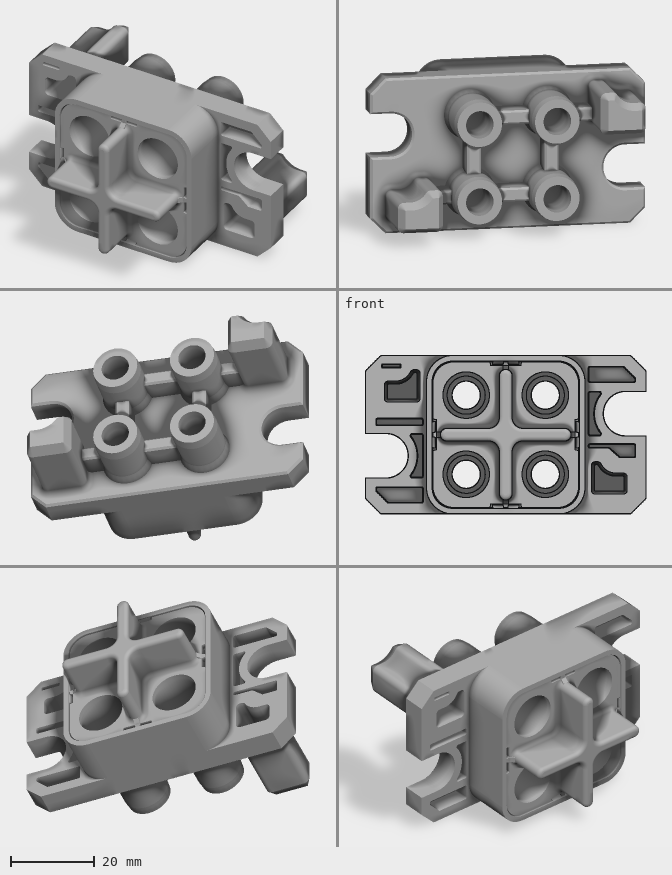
import cadquery as cq
import math


FLANGE_LENGTH = 67.2
BODY_HEIGHT = 38.0
FLANGE_THICKNESS = 6.45
FLANGE_CORNER_CHAMFER = 3.7
FLANGE_EDGE_CHAMFER = 0.55

SLOT_RADIUS = 5.3
SLOT_CENTRE_X = 28.7
SLOT_OFFSET_Z = 5.05

BLOCK_DEPTH = 12.6
BLOCK_CORNER_RADIUS = 6.3
RIM_WIDTH = 1.35
BLOCK_FRONT = -BLOCK_DEPTH

INSERT_SETBACK = 0.3
INSERT_FRONT = BLOCK_FRONT + INSERT_SETBACK
INSERT_CLEARANCE = 0.2
RECESS_SIZE = BODY_HEIGHT - 2 * RIM_WIDTH
INSERT_SIZE = RECESS_SIZE - 2 * INSERT_CLEARANCE
RECESS_CORNER_RADIUS = BLOCK_CORNER_RADIUS - RIM_WIDTH

CROSS_FRONT = -22.5
CROSS_HALF_LENGTH = 15.65
CROSS_THICKNESS = 3.0
CROSS_INNER_RADIUS = 2.6
CROSS_FILLET = 1.0

NOTCH_MOUTH_WIDTH = 7.65
NOTCH_FLOOR_WIDTH = 7.2
NOTCH_HEIGHT = 1.1
NOTCH_DEPTH = 1.35
NOTCH_FLOOR = RECESS_SIZE / 2 - NOTCH_HEIGHT
LATCH_WIDTH = 6.3
LATCH_HEIGHT = 0.8
KEY_ROOT_WIDTH = 1.5
KEY_TIP_WIDTH = 0.8
RAMP_WIDTH = 1.35

BORE_OFFSET = 9.5
INSERT_BORE_RADIUS = 5.6
HOUSING_BORE_RADIUS = 4.6
TUBE_BORE_RADIUS = 3.35
TUBE_RADIUS = 5.7
TUBE_END = 18.95
TUBE_TIP_LENGTH = 2.4
TUBE_TIP_RADIUS = 5.45
TUBE_FLARE_LENGTH = 2.4
TUBE_FLARE_RADIUS = 6.2

WEB_THICKNESS = 3.35
WEB_END = 12.5
WEB_CHAMFER = 0.5

POST_END = 25.2
POST_TIP_LENGTH = 2.5
POST_TIP_INSET = 1.4
POST_BASE_FILLET = 1.2
POST_LEFT = -30.3
POST_RIGHT = -19.3
POST_BOTTOM = 6.6
POST_SHOULDER = 14.05
POST_TOP = 16.8
POST_BEND_X = -27.2
POST_BEND_RADIUS = 4.5
POST_CORNER_RADIUS = 1.5
POST_DROP = 22.05

CORE_WALL = 1.2
CORE_BEND_X = -26.4
CORE_BEND_RADIUS = 4.0
CORE_CORNER_RADIUS = 1.0
CORE_TAPER_INSET = 0.75
CORE_DEPTH = 20.15

POCKET_DEPTH = 4.0
POCKET_CORNER_RADIUS = 0.5
POCKET_DRAFT = 2.5
POCKET_INNER_X = 19.75
POCKET_OUTER_X = 31.1
BAR_TOP = 3.95
BAR_BOTTOM = 2.15
CORNER_POCKET_NEAR_Z = 12.5
CORNER_POCKET_FAR_Z = 16.4
CORNER_POCKET_CUT = 2.9
CRESCENT_WALL = 2.15
CRESCENT_LENGTH = 10.6
STEPPED_TOP = -2.15
STEPPED_NARROW_BOTTOM = -3.2
STEPPED_WIDE_BOTTOM = -5.5
STEPPED_NARROW_END = 24.7
STEPPED_WIDE_START = 27.3
MARK_CENTRE_X = -27.4
MARK_CENTRE_Z = 16.45
MARK_LENGTH = 4.6
MARK_HEIGHT = 0.95
MARK_CORNER_RADIUS = 0.2

SLACK = 0.1

BORE_CENTRES = [(x, z) for x in (-BORE_OFFSET, BORE_OFFSET) for z in (-BORE_OFFSET, BORE_OFFSET)]


def plane_at(y):
    """Sketch plane at depth y; a negative extrusion runs toward the cable side."""
    return cq.Workplane("XZ", origin=(0, y, 0))


def half_turn(body):
    """The body turned half a revolution about the Y axis."""
    return body.rotate((0, 0, 0), (0, 1, 0), 180)


def cone(x, z, start, end, start_radius, end_radius):
    """Round stub along Y with a radius given at each end."""
    origin = cq.Vector(x, start, z)
    return cq.Workplane(cq.Solid.makeCone(start_radius, end_radius, end - start, origin, cq.Vector(0, 1, 0)))


def bores(radius, end):
    """Four round holes running from the flange front to the given depth."""
    return plane_at(0).pushPoints(BORE_CENTRES).circle(radius).extrude(-end)


def lower_copy(post):
    """Counterpart of an upper-left post feature at the lower right."""
    return post.mirror("YZ").translate((0, 0, -POST_DROP))


def fillet_base(body, boss, start, radius):
    """Fillet the edges of a body where a boss rises from its face at depth start."""
    box = boss.val().BoundingBox()
    footprint = cq.selectors.BoxSelector(
        (box.xmin - SLACK, start - SLACK, box.zmin - SLACK),
        (box.xmax + SLACK, start + SLACK, box.zmax + SLACK),
        boundingbox=True,
    )
    return body.edges(footprint).fillet(radius)


def rounded_square(size, corner_radius, depth):
    """Square prism that starts at the flange front and reaches forward by its depth."""
    return plane_at(0).rect(size, size).extrude(depth).edges("|Y").fillet(corner_radius)


def trapezoid(bottom_z, bottom_width, top_z, top_width):
    """Prism as deep as a latch notch, with its width changing evenly along Z."""
    return (
        plane_at(INSERT_FRONT)
        .polyline([
            (-bottom_width / 2, bottom_z),
            (bottom_width / 2, bottom_z),
            (top_width / 2, top_z),
            (-top_width / 2, top_z),
        ])
        .close().extrude(-NOTCH_DEPTH)
    )


def key():
    """Narrow rib that crosses the upper notch to the recess wall."""
    return trapezoid(NOTCH_FLOOR, KEY_ROOT_WIDTH, RECESS_SIZE / 2, KEY_TIP_WIDTH)


def around_sides(body):
    """Four copies of a body, one for each side of the square recess."""
    return [body.rotate((0, 0, 0), (0, 1, 0), 90 * side) for side in range(4)]



def flange():
    plate = plane_at(0).rect(FLANGE_LENGTH, BODY_HEIGHT).extrude(-FLANGE_THICKNESS)
    plate = plate.edges("|Y").chamfer(FLANGE_CORNER_CHAMFER)
    slot = (
        plane_at(0).center(-SLOT_CENTRE_X, -SLOT_OFFSET_Z).circle(SLOT_RADIUS)
        .extrude(-FLANGE_THICKNESS)
    )
    mouth_length = FLANGE_LENGTH / 2 - SLOT_CENTRE_X
    mouth = (
        plane_at(0).center(-SLOT_CENTRE_X - mouth_length / 2, -SLOT_OFFSET_Z)
        .rect(mouth_length, 2 * SLOT_RADIUS).extrude(-FLANGE_THICKNESS)
    )
    slot = slot.union(mouth)
    plate = plate.cut(slot).cut(half_turn(slot))
    return plate.faces(">Y").chamfer(FLANGE_EDGE_CHAMFER)


def front_block():
    return rounded_square(BODY_HEIGHT, BLOCK_CORNER_RADIUS, BLOCK_DEPTH)


def tube(x, z):
    flare_end = FLANGE_THICKNESS + TUBE_FLARE_LENGTH
    tip_start = TUBE_END - TUBE_TIP_LENGTH
    body = cone(x, z, FLANGE_THICKNESS, flare_end, TUBE_FLARE_RADIUS, TUBE_RADIUS)
    body = body.union(plane_at(flare_end).center(x, z).circle(TUBE_RADIUS).extrude(flare_end - tip_start))
    return body.union(cone(x, z, tip_start, TUBE_END, TUBE_RADIUS, TUBE_TIP_RADIUS))


def web(x_start, x_end, z):
    """Straight web along X at height z with its rear edges chamfered."""
    return (
        plane_at(FLANGE_THICKNESS).center((x_start + x_end) / 2, z).rect(x_end - x_start, WEB_THICKNESS)
        .extrude(FLANGE_THICKNESS - WEB_END).faces(">Y").chamfer(WEB_CHAMFER)
    )


def web_frame():
    """Square of webs joining the tubes, with one arm out to each post."""
    post_middle = (POST_LEFT + POST_RIGHT) / 2
    upper = web(post_middle, BORE_OFFSET, BORE_OFFSET)
    side = web(-BORE_OFFSET, BORE_OFFSET, BORE_OFFSET).rotate((0, 0, 0), (0, 1, 0), 90)
    return upper.union(half_turn(upper)).union(side).union(half_turn(side))


def post_outline(y, left, right, bottom, shoulder, top, bend_x, bend_radius, corner):
    """Rounded outline whose top edge rises in an S-bend from a shoulder to a crest."""
    rise = shoulder + bend_radius - (top - corner)
    centre_gap = bend_radius + corner
    crest_x = bend_x + math.sqrt(centre_gap**2 - rise**2)
    bend_end = (
        bend_x + (crest_x - bend_x) * bend_radius / centre_gap,
        shoulder + bend_radius - rise * bend_radius / centre_gap,
    )
    return (
        plane_at(y)
        .moveTo(left + corner, bottom)
        .lineTo(right - corner, bottom)
        .tangentArcPoint((right, bottom + corner), relative=False)
        .lineTo(right, top - corner)
        .tangentArcPoint((right - corner, top), relative=False)
        .lineTo(crest_x, top)
        .tangentArcPoint(bend_end, relative=False)
        .tangentArcPoint((bend_x, shoulder), relative=False)
        .lineTo(left + corner, shoulder)
        .tangentArcPoint((left, shoulder - corner), relative=False)
        .lineTo(left, bottom + corner)
        .tangentArcPoint((left + corner, bottom), relative=False)
        .close()
    )


def guide_post():
    outline = post_outline(
        FLANGE_THICKNESS, POST_LEFT, POST_RIGHT, POST_BOTTOM, POST_SHOULDER, POST_TOP,
        POST_BEND_X, POST_BEND_RADIUS, POST_CORNER_RADIUS,
    )
    post = outline.extrude(FLANGE_THICKNESS - POST_END)
    return post.faces(">Y").chamfer(POST_TIP_LENGTH, POST_TIP_INSET)


def post_core():
    def section(y, inset):
        wall = CORE_WALL + inset
        return post_outline(
            y, POST_LEFT + wall, POST_RIGHT - wall, POST_BOTTOM + wall, POST_SHOULDER - wall, POST_TOP - wall,
            CORE_BEND_X, CORE_BEND_RADIUS + inset, CORE_CORNER_RADIUS - inset,
        ).wires().val()

    mouth = section(0, 0)
    floor = section(CORE_DEPTH, CORE_TAPER_INSET)
    return cq.Workplane(cq.Solid.makeLoft([mouth, floor], True))


def drafted(outline, corner_radius):
    """Pocket with rounded corners that narrows evenly from the flange front to its floor."""
    prism = outline.extrude(-POCKET_DEPTH).edges("|Y").fillet(corner_radius)
    mouth = prism.faces("<Y").wires().val()
    return plane_at(0).add(mouth).toPending().extrude(-POCKET_DEPTH, taper=POCKET_DRAFT)


def pocket(points):
    return drafted(plane_at(0).polyline(points).close(), POCKET_CORNER_RADIUS)


def bar_pocket():
    return pocket([
        (-POCKET_OUTER_X, BAR_BOTTOM),
        (-POCKET_INNER_X, BAR_BOTTOM),
        (-POCKET_INNER_X, BAR_TOP),
        (-POCKET_OUTER_X, BAR_TOP),
    ])


def stepped_pocket():
    return pocket([
        (POCKET_INNER_X, STEPPED_TOP),
        (POCKET_OUTER_X, STEPPED_TOP),
        (POCKET_OUTER_X, STEPPED_WIDE_BOTTOM),
        (STEPPED_WIDE_START, STEPPED_WIDE_BOTTOM),
        (STEPPED_NARROW_END, STEPPED_NARROW_BOTTOM),
        (POCKET_INNER_X, STEPPED_NARROW_BOTTOM),
    ])


def corner_pocket():
    return pocket([
        (-POCKET_INNER_X, -CORNER_POCKET_NEAR_Z),
        (-POCKET_INNER_X, -CORNER_POCKET_FAR_Z),
        (-POCKET_OUTER_X + CORNER_POCKET_CUT, -CORNER_POCKET_FAR_Z),
        (-POCKET_OUTER_X, -CORNER_POCKET_FAR_Z + CORNER_POCKET_CUT),
        (-POCKET_OUTER_X, -CORNER_POCKET_NEAR_Z),
    ])


def crescent_pocket():
    """Pocket beside a screw slot, leaving an even wall around the slot end."""
    radius = SLOT_RADIUS + CRESCENT_WALL
    half_length = CRESCENT_LENGTH / 2
    tip_x = -SLOT_CENTRE_X + math.sqrt(radius**2 - half_length**2)
    outline = (
        plane_at(0)
        .moveTo(-POCKET_INNER_X, -SLOT_OFFSET_Z - half_length)
        .lineTo(tip_x, -SLOT_OFFSET_Z - half_length)
        .threePointArc((-SLOT_CENTRE_X + radius, -SLOT_OFFSET_Z), (tip_x, -SLOT_OFFSET_Z + half_length))
        .lineTo(-POCKET_INNER_X, -SLOT_OFFSET_Z + half_length)
        .close()
    )
    return drafted(outline, POCKET_CORNER_RADIUS)


def mark_pocket():
    outline = plane_at(0).center(MARK_CENTRE_X, MARK_CENTRE_Z).rect(MARK_LENGTH, MARK_HEIGHT)
    return drafted(outline, MARK_CORNER_RADIUS)


def latch():
    """Wedge on the upper recess wall, sloping in toward the back of the notch and split by the key."""
    wall = RECESS_SIZE / 2
    back = INSERT_FRONT + NOTCH_DEPTH
    return (
        cq.Workplane("YZ", origin=(-LATCH_WIDTH / 2, 0, 0))
        .polyline([(INSERT_FRONT, wall), (back, wall), (back, wall - LATCH_HEIGHT)])
        .close().extrude(LATCH_WIDTH).cut(key())
    )


def make_housing():
    post = guide_post()
    core = post_core()
    body = fillet_base(flange().union(post), post, FLANGE_THICKNESS, POST_BASE_FILLET)
    lower_post = lower_copy(post)
    body = fillet_base(body.union(lower_post), lower_post, FLANGE_THICKNESS, POST_BASE_FILLET)
    body = body.union(front_block()).union(web_frame())
    for x, z in BORE_CENTRES:
        body = body.union(tube(x, z))
    body = body.cut(rounded_square(RECESS_SIZE, RECESS_CORNER_RADIUS, BLOCK_DEPTH))
    body = body.cut(bores(HOUSING_BORE_RADIUS, FLANGE_THICKNESS))
    body = body.cut(bores(TUBE_BORE_RADIUS, TUBE_END))
    body = body.cut(core).cut(lower_copy(core))
    for cavity in (corner_pocket(), crescent_pocket()):
        body = body.cut(cavity).cut(half_turn(cavity))
    for cavity in (bar_pocket(), stepped_pocket(), mark_pocket()):
        body = body.cut(cavity)
    for wedge in around_sides(latch()):
        body = body.union(wedge)
    return body



def separator_cross():
    """Cross-shaped wall with rounded arm ends, inner corners and front edge."""
    length = INSERT_FRONT - CROSS_FRONT
    arm = plane_at(INSERT_FRONT).slot2D(2 * CROSS_HALF_LENGTH, CROSS_THICKNESS).extrude(length)
    cross = arm.union(arm.rotate((0, 0, 0), (0, 1, 0), 90))
    reach = CROSS_THICKNESS
    centre = cq.selectors.BoxSelector((-reach, CROSS_FRONT, -reach), (reach, INSERT_FRONT, reach))
    cross = cross.edges("|Y").edges(centre).fillet(CROSS_INNER_RADIUS)
    return cross.faces("<Y").edges().fillet(CROSS_FILLET)


def ramp():
    """Slope from the end of the upper cross arm down to the edge of the notch."""
    return (
        cq.Workplane("YZ", origin=(-RAMP_WIDTH / 2, 0, 0))
        .polyline([
            (INSERT_FRONT, NOTCH_FLOOR),
            (INSERT_FRONT, CROSS_HALF_LENGTH - CROSS_FILLET),
            (INSERT_FRONT - CROSS_FILLET, CROSS_HALF_LENGTH - CROSS_FILLET),
            (INSERT_FRONT - CROSS_FILLET, CROSS_HALF_LENGTH),
        ])
        .close().extrude(RAMP_WIDTH)
    )


def make_insert():
    body = rounded_square(INSERT_SIZE, RECESS_CORNER_RADIUS, -INSERT_FRONT)
    cross = separator_cross()
    body = fillet_base(body.union(cross), cross, INSERT_FRONT, CROSS_FILLET)
    body = body.cut(bores(INSERT_BORE_RADIUS, INSERT_FRONT))
    notch = trapezoid(NOTCH_FLOOR, NOTCH_FLOOR_WIDTH, RECESS_SIZE / 2, NOTCH_MOUTH_WIDTH).cut(key())
    for side_notch in around_sides(notch):
        body = body.cut(side_notch)
    for side_ramp in around_sides(ramp()):
        body = body.union(side_ramp)
    return body


housing = make_housing()
insert = make_insert()

result = cq.Compound.makeCompound([housing.solids().val(), insert.solids().val()])